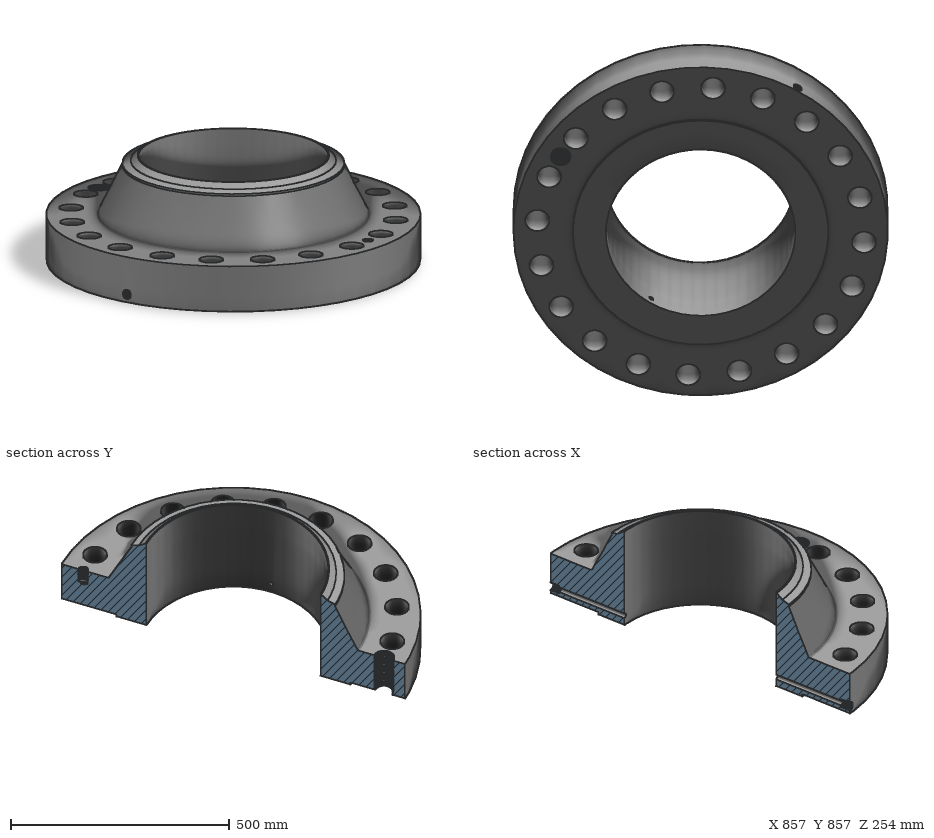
import cadquery as cq
import math

outer_diameter = 857.0
overall_height = 254.0
bore_diameter = 434.0

raised_face_diameter = 585.0
raised_face_height = 6.0
plate_thickness = 108.0
plate_top = raised_face_height + plate_thickness

hub_base_diameter = 622.0
hub_top_diameter = 508.0
weld_land = 3.0
bevel_break_diameter = 471.0
bevel_drop = 12.0
shoulder_drop = 18.0
straight_band_height = 5.0
hub_base_fillet = 3.0
selection_margin = 1.0

bolt_circle_diameter = 750.0
bolt_hole_diameter = 55.0
bolt_count = 20
bolt_pitch_angle = 360.0 / bolt_count

jack_major = 48.0
jack_pitch = 5.0
eyebolt_major = 24.0
eyebolt_pitch = 4.0
eyebolt_depth = 36.0
eyebolt_pilot_diameter = 9.5
eyebolt_pilot_depth = 43.0
thread_depth_ratio = 0.54

tap_height = 25.0
tap_hole_diameter = 11.0
tap_major = 21.5
tap_pitch = 1.8
tap_thread_length = 25.0
tap_taper = 1.0 / 32.0


def flange_body():
    """Solid of revolution: raised face, plate, hub, weld bevel and bore."""
    bore_radius = bore_diameter / 2
    shoulder_z = overall_height - shoulder_drop
    profile = [
        (bore_radius, 0),
        (raised_face_diameter / 2, 0),
        (raised_face_diameter / 2, raised_face_height),
        (outer_diameter / 2, raised_face_height),
        (outer_diameter / 2, plate_top),
        (hub_base_diameter / 2, plate_top),
        (hub_top_diameter / 2, shoulder_z - straight_band_height),
        (hub_top_diameter / 2, shoulder_z),
        (bevel_break_diameter / 2, overall_height - bevel_drop),
        (bore_radius + weld_land, overall_height),
        (bore_radius, overall_height),
    ]
    body = cq.Workplane("XZ").polyline(profile).close().revolve(360, (0, 0, 0), (0, 1, 0))
    box_half_width = hub_base_diameter / 2 + selection_margin
    hub_base_edge = body.edges(
        cq.selectors.BoxSelector(
            (-box_half_width, -box_half_width, plate_top - selection_margin),
            (box_half_width, box_half_width, plate_top + selection_margin),
            boundingbox=True,
        )
    )
    return hub_base_edge.fillet(hub_base_fillet)


def threaded_cutter(major_diameter, pitch, length, taper=0.0):
    """Cutter with ring-shaped V grooves, running from the origin down -Z."""
    tooth = thread_depth_ratio * pitch
    turns = math.ceil(length / pitch)
    profile = [(0, 0)]
    for turn in range(turns):
        crest_depth = turn * pitch
        root_depth = crest_depth + pitch / 2
        profile.append((major_diameter / 2 - taper * crest_depth, -crest_depth))
        profile.append((major_diameter / 2 - tooth - taper * root_depth, -root_depth))
    end_depth = turns * pitch
    profile.append((major_diameter / 2 - taper * end_depth, -end_depth))
    profile.append((0, -end_depth))
    return cq.Workplane("XZ").polyline(profile).close().revolve(360, (0, 0, 0), (0, 1, 0))


def bolt_holes():
    """Through holes on the bolt circle, straddling the X and Y axes."""
    return (
        cq.Workplane("XY")
        .polarArray(bolt_circle_diameter / 2, bolt_pitch_angle / 2, 360, bolt_count)
        .circle(bolt_hole_diameter / 2)
        .extrude(plate_top)
    )


def jack_screw_hole():
    """Threaded through hole on the -X side."""
    cutter = threaded_cutter(jack_major, jack_pitch, plate_thickness)
    return cutter.translate((-bolt_circle_diameter / 2, 0, plate_top))


def eyebolt_hole():
    """Blind threaded hole on the +X side with a small pilot in its flat floor."""
    pilot = cq.Workplane("XY").circle(eyebolt_pilot_diameter / 2).extrude(-eyebolt_pilot_depth)
    cutter = threaded_cutter(eyebolt_major, eyebolt_pitch, eyebolt_depth).union(pilot)
    return cutter.translate((bolt_circle_diameter / 2, 0, plate_top))


def pressure_tap():
    """Radial hole from the -Y rim into the bore, with a tapered thread at the rim."""
    drill = cq.Workplane("XY").circle(tap_hole_diameter / 2).extrude(-outer_diameter / 2)
    thread = threaded_cutter(tap_major, tap_pitch, tap_thread_length, tap_taper)
    cutter = drill.union(thread).rotate((0, 0, 0), (1, 0, 0), 90)
    return cutter.translate((0, -outer_diameter / 2, tap_height))


result = flange_body().cut(bolt_holes()).cut(jack_screw_hole()).cut(eyebolt_hole())
for side_angle in (0, 180):
    result = result.cut(pressure_tap().rotate((0, 0, 0), (0, 0, 1), side_angle))